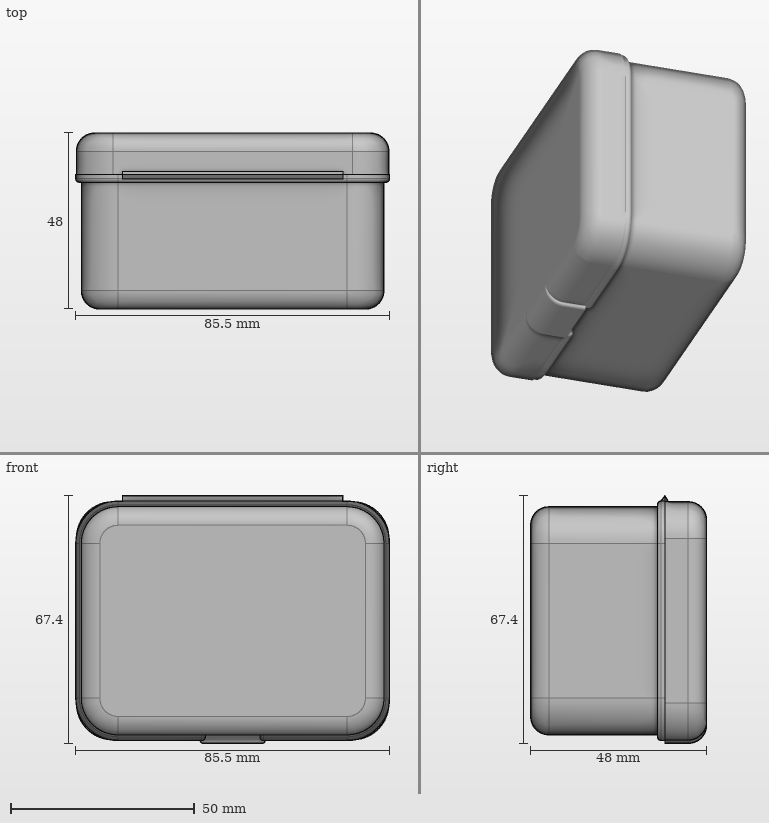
import cadquery as cq


rim_width = 85.5
rim_height = 65.2
rim_overhang = 1.5
rim_depth = 2.05
rim_round = 1.0
base_width = rim_width - 2 * rim_overhang
base_height = rim_height - 2 * rim_overhang
base_depth = 36.6

lid_inset = 0.2
lid_width = rim_width - 2 * lid_inset
lid_height = rim_height - 2 * lid_inset
lid_depth = 11.4

corner_radius = 10.0
end_round = 5.05
rim_corner_radius = corner_radius + rim_overhang

tab_width = 17.7
tab_drop = 0.9
tab_edge_round = 0.8
notch_width = 14.9
lid_bottom = -lid_height / 2
tab_bottom = lid_bottom - tab_drop

hinge_length = 60.0
hinge_rise = 1.45
lid_leaf_reach = 0.9
base_leaf_reach = 1.1
lid_top = lid_height / 2
rim_top = rim_height / 2
hinge_top = rim_top + hinge_rise


def rounded_block(width, height, depth, radius):
    """Block with rounded corners, running from the seam to Y = depth (either sign)."""
    return (
        cq.Workplane("XZ")
        .rect(width, height)
        .extrude(-depth)
        .edges("|Y")
        .fillet(radius)
    )


def make_rim():
    """Flange around the mouth of the base, with a round-cornered gap at the thumb tab."""
    rim = rounded_block(rim_width, rim_height, -rim_depth, rim_corner_radius)
    notch_bottom = -rim_height / 2
    notch = (
        cq.Workplane("XY")
        .box(notch_width, 2 * rim_depth, 2 * rim_overhang)
        .translate((0, 0, notch_bottom))
    )
    notch_corners = cq.selectors.BoxSelector(
        (-notch_width, -rim_depth, notch_bottom - rim_overhang / 2),
        (notch_width, 0, notch_bottom + rim_overhang / 2),
    )
    rim = rim.cut(notch)
    rim = rim.edges("|Y").edges(notch_corners).fillet(rim_round)
    return rim.faces("<Y").edges().fillet(rim_round)


def make_base():
    tub = rounded_block(base_width, base_height, -base_depth, corner_radius)
    tub = tub.faces("<Y").edges().fillet(end_round)
    return tub.union(make_rim())


def make_tab():
    """Thumb tab that follows the rounded back edge of the lid."""
    round_start = lid_depth - end_round
    tab_profile = (
        cq.Workplane("YZ")
        .moveTo(0, lid_bottom + end_round)
        .lineTo(0, tab_bottom)
        .lineTo(round_start, tab_bottom)
        .radiusArc((lid_depth, tab_bottom + end_round), -end_round)
        .lineTo(lid_depth, lid_bottom + end_round)
        .close()
    )
    tab = tab_profile.extrude(tab_width / 2, both=True)
    lower_side_edges = tab.faces("<Z").edges("<X or >X").add(tab.edges("%CIRCLE"))
    return lower_side_edges.fillet(tab_edge_round)


def make_lid():
    lid = rounded_block(lid_width, lid_height, lid_depth, corner_radius)
    lid = lid.faces(">Y").edges().fillet(end_round)
    return lid.union(make_tab())


def make_hinge_leaf(reach, foot_level):
    """Triangular strip standing on one side of the seam, with its crest at the seam."""
    return (
        cq.Workplane("YZ")
        .moveTo(0, foot_level)
        .lineTo(0, hinge_top)
        .lineTo(reach, foot_level)
        .close()
        .extrude(hinge_length / 2, both=True)
    )


base = make_base()
lid = make_lid()
lid_hinge_leaf = make_hinge_leaf(lid_leaf_reach, lid_top)
base_hinge_leaf = make_hinge_leaf(-base_leaf_reach, rim_top)

result = cq.Compound.makeCompound(
    [base.val(), lid.val(), lid_hinge_leaf.val(), base_hinge_leaf.val()]
)